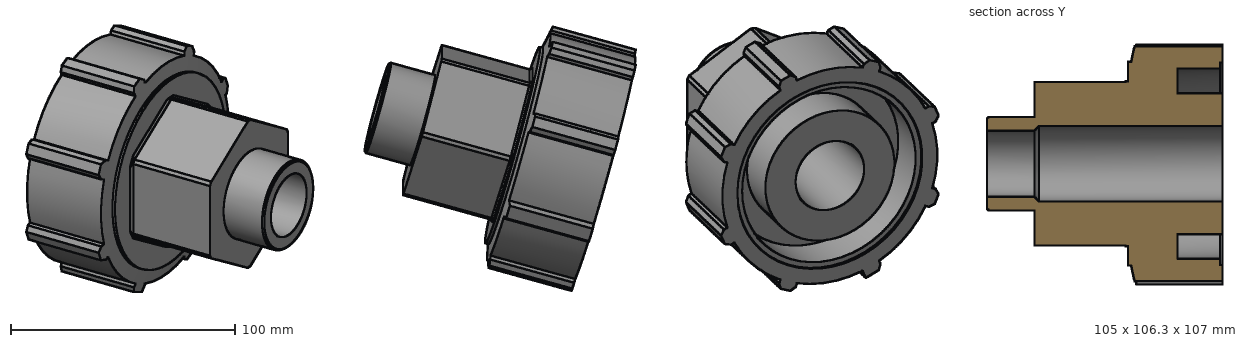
import cadquery as cq
import math

length = 105.0
nut_edge_x = 39.3
nut_end_x = 40.8
collar_end_x = 42.2
hex_end_x = 83.9

nut_dia = 105.1
collar_dia = 91.0
rim_step_dia = 90.4
rim_step_depth = 1.1
cavity_dia = 84.8
cavity_depth = 20.0
boss_dia = 63.0

rib_count = 8
rib_pitch = 360 / rib_count
rib_width = 8.8
rib_top_radius = 56.5
rib_root_radius = 49.2
rib_bevel_height = 2.4
rib_bevel_width = 1.9
sharp_rib = 3

cone_slope = (nut_end_x - nut_edge_x) / (nut_dia / 2 - collar_dia / 2)

hex_sides = 6
hex_flats = 64.2
hex_corner_dia = 73.0
flare_corner_dia = 73.7
hex_flare = 1.1
spigot_dia = 41.9
spigot_chamfer = 0.7
bore_front_dia = 33.5
bore_back_dia = 29.3


def cylinder(diameter, start, end):
    """Solid cylinder on the X axis between two X positions."""
    return cq.Workplane("YZ").workplane(offset=start).circle(diameter / 2).extrude(end - start)


def grip_rib(index):
    """One rib along the nut, with its outer edges bevelled."""
    side = rib_width / 2
    flat = side - rib_bevel_width
    shoulder = rib_top_radius - rib_bevel_height
    if index == sharp_rib:
        left_corner = [(-side, rib_top_radius)]
    else:
        left_corner = [(-side, shoulder), (-flat, rib_top_radius)]
    right_corner = [(flat, rib_top_radius), (side, shoulder)]
    outline = [(-side, rib_root_radius)] + left_corner + right_corner + [(side, rib_root_radius)]
    rib = cq.Workplane("YZ").polyline(outline).close().extrude(nut_end_x)
    return rib.rotate((0, 0, 0), (1, 0, 0), (index + 0.5) * rib_pitch)


def back_cone():
    """Envelope that bevels the back of the nut and its ribs."""
    outer_radius = rib_top_radius + rib_bevel_height
    outer_x = nut_end_x - cone_slope * (outer_radius - collar_dia / 2)
    return (
        cq.Workplane("XY")
        .moveTo(0, 0)
        .lineTo(0, outer_radius)
        .lineTo(outer_x, outer_radius)
        .lineTo(nut_end_x, collar_dia / 2)
        .lineTo(nut_end_x, 0)
        .close()
        .revolve(360, (0, 0, 0), (1, 0, 0))
    )


def union_nut():
    """Ribbed nut with its cavity, central boss and back collar."""
    nut = cylinder(nut_dia, 0, nut_end_x)
    for index in range(rib_count):
        nut = nut.union(grip_rib(index))
    nut = nut.intersect(back_cone())
    nut = nut.cut(cylinder(rim_step_dia, 0, rim_step_depth))
    nut = nut.cut(cylinder(cavity_dia, 0, cavity_depth))
    nut = nut.union(cylinder(boss_dia, 0, nut_end_x))
    return nut.union(cylinder(collar_dia, cavity_depth, collar_end_x))


def hexagon(flats, start, end, taper=0):
    """Hexagonal prism with two corners on the Z axis."""
    return (
        cq.Workplane("YZ")
        .workplane(offset=start)
        .polygon(hex_sides, flats / math.cos(math.pi / hex_sides))
        .extrude(end - start, taper=taper)
        .rotate((0, 0, 0), (1, 0, 0), 180 / hex_sides)
    )


def hex_body():
    """Hexagon with clipped corners and a short flare where it meets the collar."""
    flare_end_x = collar_end_x + hex_flare
    body = hexagon(hex_flats, collar_end_x, hex_end_x)
    body = body.intersect(cylinder(hex_corner_dia, collar_end_x, hex_end_x))
    flare = hexagon(hex_flats + 2 * hex_flare, collar_end_x, flare_end_x, taper=45)
    return body.union(flare.intersect(cylinder(flare_corner_dia, collar_end_x, flare_end_x)))


spigot = cylinder(spigot_dia, hex_end_x, length).faces(">X").chamfer(spigot_chamfer)

shoulder_length = (bore_front_dia - bore_back_dia) / 2
shoulder_x = hex_end_x - shoulder_length
bore = (
    cq.Workplane("XY")
    .moveTo(0, 0)
    .lineTo(0, bore_front_dia / 2)
    .lineTo(shoulder_x, bore_front_dia / 2)
    .lineTo(hex_end_x, bore_back_dia / 2)
    .lineTo(length, bore_back_dia / 2)
    .lineTo(length, 0)
    .close()
    .revolve(360, (0, 0, 0), (1, 0, 0))
)

result = union_nut().union(hex_body()).union(spigot).cut(bore)